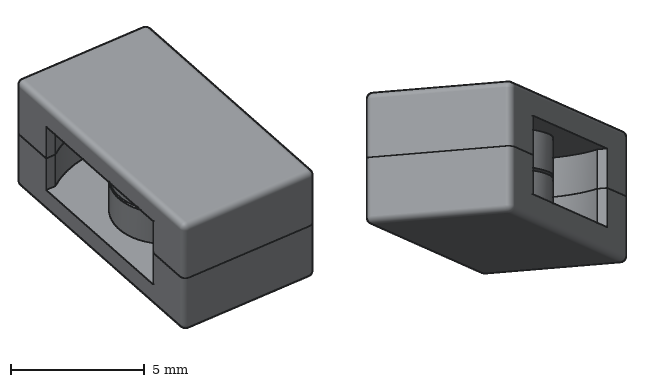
import cadquery as cq

length = 11.0
width = 6.0
height = 5.0
half_height = height / 2
edge_radius = 0.25

window_depth = 1.5
plate_thickness = half_height - window_depth
winding_diameter = 8.7
mouth_width = 7.0

post_diameter = 4.25
air_gap = 0.11
post_height = window_depth - air_gap / 2


def outer_block():
    """Plain lower block, rounded everywhere except around its mating face."""
    block = cq.Workplane("XY").box(length, width, half_height, centered=(True, True, False))
    return block.edges("|Z or <Z").fillet(edge_radius)


def winding_window():
    """Round winding space, opened straight through both long sides."""
    floor = cq.Workplane("XY").workplane(offset=plate_thickness)
    ring_space = floor.circle(winding_diameter / 2).extrude(window_depth)
    side_limit = floor.rect(length, width).extrude(window_depth)
    mouths = floor.rect(mouth_width, width).extrude(window_depth)
    return ring_space.intersect(side_limit).union(mouths)


def center_post():
    """Round post standing on the plate."""
    floor = cq.Workplane("XY").workplane(offset=plate_thickness)
    return floor.circle(post_diameter / 2).extrude(post_height)


def core_half():
    """One core half with its mating face up, at the top of the half."""
    return outer_block().cut(winding_window()).union(center_post())


lower_core = core_half().translate((0, 0, -half_height))
cores = []
for turn_angle in (0, 180):
    cores.append(lower_core.rotate((0, 0, 0), (1, 0, 0), turn_angle).val())

result = cq.Compound.makeCompound(cores)